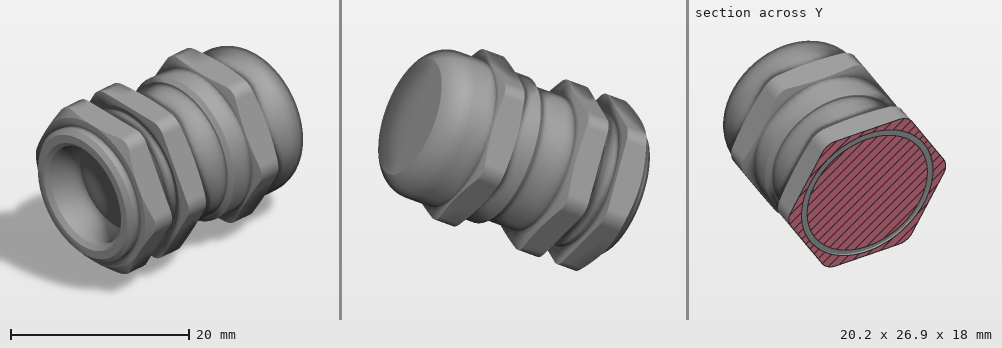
import cadquery as cq
import math

LENGTH = 26.95

ACROSS_FLATS = 18.0
HEX_CORNER_RADIUS = 2.0
LOCKNUT_START, LOCKNUT_END = 1.4, 4.47
BODY_HEX_START, BODY_HEX_END = 6.98, 10.15
CAP_HEX_START, CAP_HEX_END = 17.57, 20.95
LOCKNUT_BEVEL_ANGLE = 30.0
BODY_HEX_BEVEL_ANGLE = 15.5
CAP_HEX_BEVEL_ANGLE = 18.0

BODY_RADIUS = 16.0 / 2
END_CHAMFER = 0.5
GROOVE_RADIUS = 15.0 / 2
THREAD_END = 5.0
GROOVE_START = THREAD_END + BODY_RADIUS - GROOVE_RADIUS

SEAL_SECTION_RADIUS = 0.7
SEAL_CROWN = 6.63
RECESS_RADIUS = 8.4
RECESS_DEPTH = 0.4

CAP_RADIUS = 17.5 / 2
CAP_START = 14.58
CAP_CHAMFER = 0.49
DOME_START = 23.93
DOME_END_RADIUS = 6.9

BORE_DIAMETER = 12.0
BORE_DEPTH = 5.0
BORE_CHAMFER = 0.5


def turned_body():
    """Revolve the stepped outline (radius, station) about the Y axis."""
    dome_height = LENGTH - DOME_START
    dome_inset = CAP_RADIUS - DOME_END_RADIUS
    dome_radius = (dome_height**2 + dome_inset**2) / (2 * dome_inset)
    dome_angle = math.asin(dome_height / dome_radius) / 2
    dome_middle = (
        CAP_RADIUS - dome_radius * (1 - math.cos(dome_angle)),
        DOME_START + dome_radius * math.sin(dome_angle),
    )
    return (
        cq.Workplane("XY")
        .moveTo(0, 0)
        .lineTo(BODY_RADIUS - END_CHAMFER, 0)
        .lineTo(BODY_RADIUS, END_CHAMFER)
        .lineTo(BODY_RADIUS, THREAD_END)
        .lineTo(GROOVE_RADIUS, GROOVE_START)
        .lineTo(GROOVE_RADIUS, BODY_HEX_START + RECESS_DEPTH)
        .lineTo(BODY_RADIUS, BODY_HEX_START + RECESS_DEPTH)
        .lineTo(BODY_RADIUS, CAP_START)
        .lineTo(CAP_RADIUS - CAP_CHAMFER, CAP_START)
        .lineTo(CAP_RADIUS, CAP_START + CAP_CHAMFER)
        .lineTo(CAP_RADIUS, DOME_START)
        .threePointArc(dome_middle, (DOME_END_RADIUS, LENGTH))
        .lineTo(0, LENGTH)
        .close()
        .revolve(360, (0, 0), (0, 1))
    )


def hexagon(start, end, angle, front_diameter=None, back_diameter=None):
    """Make a round-cornered hexagon with conical bevels down to the given face diameters."""
    across_corners = ACROSS_FLATS / math.cos(math.radians(30))
    prism = (
        cq.Workplane("XZ", origin=(0, start, 0))
        .polygon(6, across_corners)
        .extrude(start - end)
        .edges("|Y")
        .fillet(HEX_CORNER_RADIUS)
    )
    rim = across_corners / 2

    def face_points(diameter, face, inward):
        if diameter is None:
            return [(rim, face)]
        bevel_depth = (rim - diameter / 2) * math.tan(math.radians(angle))
        return [(diameter / 2, face), (rim, face + inward * bevel_depth)]

    front = face_points(front_diameter, start, 1)
    back = face_points(back_diameter, end, -1)
    outline = [(0, start)] + front + back[::-1] + [(0, end)]
    envelope = cq.Workplane("XY").polyline(outline).close().revolve(360, (0, 0), (0, 1))
    return prism.intersect(envelope)


def sealing_ring():
    """Round-section ring whose crown is level with the thread."""
    ring_radius = BODY_RADIUS - SEAL_SECTION_RADIUS
    return (
        cq.Workplane("XY")
        .center(-ring_radius, SEAL_CROWN)
        .circle(SEAL_SECTION_RADIUS)
        .revolve(360, (ring_radius, 0), (ring_radius, 1))
    )


def seal_recess():
    """Disc cut from the front face of the body hexagon."""
    return cq.Workplane("XZ", origin=(0, BODY_HEX_START, 0)).circle(RECESS_RADIUS).extrude(-RECESS_DEPTH)


def blind_bore():
    """Bore with a 45 degree lead-in at the threaded end."""
    radius = BORE_DIAMETER / 2
    outline = [
        (0, 0),
        (radius + BORE_CHAMFER, 0),
        (radius, BORE_CHAMFER),
        (radius, BORE_DEPTH),
        (0, BORE_DEPTH),
    ]
    return cq.Workplane("XY").polyline(outline).close().revolve(360, (0, 0), (0, 1))


locknut = hexagon(LOCKNUT_START, LOCKNUT_END, LOCKNUT_BEVEL_ANGLE, front_diameter=ACROSS_FLATS)
body_hex = hexagon(
    BODY_HEX_START, BODY_HEX_END, BODY_HEX_BEVEL_ANGLE, back_diameter=2 * BODY_RADIUS
)
body_hex = body_hex.cut(seal_recess())
cap_hex = hexagon(
    CAP_HEX_START,
    CAP_HEX_END,
    CAP_HEX_BEVEL_ANGLE,
    front_diameter=2 * CAP_RADIUS,
    back_diameter=2 * CAP_RADIUS,
)

result = (
    turned_body()
    .union(locknut)
    .union(body_hex)
    .union(cap_hex)
    .union(sealing_ring())
    .cut(blind_bore())
)